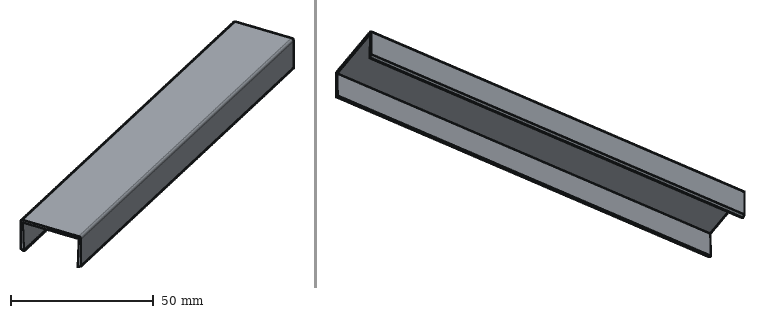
import cadquery as cq

width = 24.2
length = 152.4
height = 12.6

web_thickness = 1.0
leg_root_thickness = 0.9
leg_tip_thickness = 1.4

top_edge_radius = 0.9
tip_bevel_height = 0.6
tip_bevel_width = 1.0

half_width = width / 2
inner_root_x = half_width - leg_root_thickness
inner_tip_x = half_width - leg_tip_thickness
bevel_x = half_width - tip_bevel_width
web_underside_z = height - web_thickness

half_channel = (
    cq.Workplane("XZ")
    .moveTo(0, height)
    .lineTo(half_width, height)
    .lineTo(half_width, tip_bevel_height)
    .lineTo(bevel_x, 0)
    .lineTo(inner_tip_x, 0)
    .lineTo(inner_root_x, web_underside_z)
    .lineTo(0, web_underside_z)
    .close()
    .extrude(length / 2, both=True)
)

channel = half_channel.union(half_channel.mirror("YZ")).clean()

result = channel.edges("|Y and >Z").fillet(top_edge_radius)